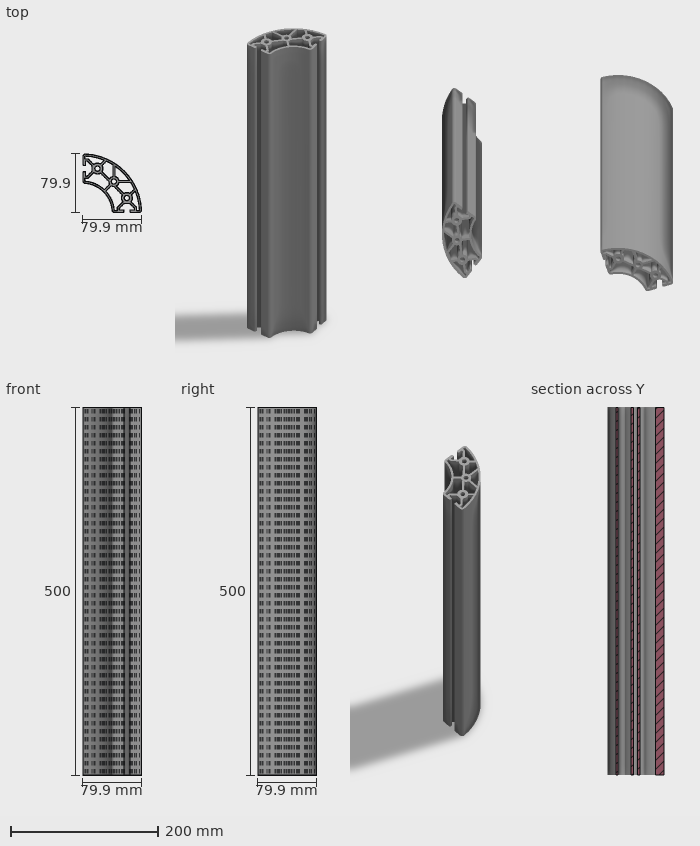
import cadquery as cq
import math

LENGTH = 500.0
OUTER_RADIUS = 80.0
INNER_RADIUS = 40.0
MID_RADIUS = (OUTER_RADIUS + INNER_RADIUS) / 2
WALL = 3.0
CORNER_RADIUS = 4.0

MOUTH_WIDTH = 12.0
LIP = 4.0
LIP_RADIUS = 1.9
SLOT_WIDTH = MOUTH_WIDTH - 2 * LIP_RADIUS
CAVITY_WIDTH = 20.5
CAVITY_SIDE_TOP = 6.0
CAVITY_DEPTH = 12.5
CAVITY_FLOOR_WIDTH = CAVITY_WIDTH - 2 * (CAVITY_DEPTH - CAVITY_SIDE_TOP)
CAVITY_FLOOR_RADIUS = 3.0

RIB = 3.0
SIDE_BOSS_RADIUS = 7.5
MID_BOSS_RADIUS = 7.0
BORE_RADIUS = 3.4
DIAGONAL = math.cos(math.pi / 4)
SIDE_BOSS = (MID_RADIUS, CAVITY_DEPTH + SIDE_BOSS_RADIUS)
MID_BOSS = (MID_RADIUS * DIAGONAL, MID_RADIUS * DIAGONAL)

WALL_RIB_REACH = OUTER_RADIUS
BOSS_RIB_REACH = (SIDE_BOSS[0] - SIDE_BOSS[1]) * DIAGONAL


def quarter_ring(inner, outer, foot):
    """Quarter ring between two radii, with both end faces moved in by foot."""
    inner_run = math.sqrt(inner**2 - foot**2)
    outer_run = math.sqrt(outer**2 - foot**2)
    return (
        cq.Workplane("XY")
        .moveTo(inner_run, foot)
        .lineTo(outer_run, foot)
        .threePointArc((outer * DIAGONAL, outer * DIAGONAL), (foot, outer_run))
        .lineTo(foot, inner_run)
        .threePointArc((inner * DIAGONAL, inner * DIAGONAL), (inner_run, foot))
        .close()
        .extrude(LENGTH)
    )


def rib(start, angle, reach):
    """Straight web from a boss centre, at an angle from +X in degrees."""
    return (
        cq.Workplane("XY")
        .center(reach / 2, 0)
        .rect(reach, RIB)
        .extrude(LENGTH)
        .rotate((0, 0, 0), (0, 0, 1), angle)
        .translate((start[0], start[1], 0))
    )


def cylinder(center, radius):
    """Full-length round bar."""
    return cq.Workplane("XY").center(*center).circle(radius).extrude(LENGTH)


def cavity(margin=0.0):
    """Wide inner part of the slot on the Y = 0 face, grown on every side by margin."""
    slope_shift = margin * math.tan(math.pi / 8)
    half_width = CAVITY_WIDTH / 2 + margin
    half_floor = CAVITY_FLOOR_WIDTH / 2 + slope_shift
    side_top = CAVITY_SIDE_TOP + slope_shift
    lip = LIP - margin
    floor = CAVITY_DEPTH + margin
    return (
        cq.Workplane("XY")
        .center(MID_RADIUS, 0)
        .polyline([
            (-half_width, lip),
            (half_width, lip),
            (half_width, side_top),
            (half_floor, floor),
            (-half_floor, floor),
            (-half_width, side_top),
        ])
        .close()
        .extrude(LENGTH)
    )


def slot_mouth():
    """Narrow opening through the lip, with rounded outer edges."""
    half_slot = SLOT_WIDTH / 2
    half_mouth = MOUTH_WIDTH / 2
    return (
        cq.Workplane("XY")
        .center(MID_RADIUS, 0)
        .moveTo(-half_slot, LIP)
        .lineTo(half_slot, LIP)
        .lineTo(half_slot, LIP_RADIUS)
        .radiusArc((half_mouth, 0), -LIP_RADIUS)
        .lineTo(-half_mouth, 0)
        .radiusArc((-half_slot, LIP_RADIUS), -LIP_RADIUS)
        .close()
        .extrude(LENGTH)
    )


def with_mirror(shape):
    """Shape together with its reflection in the X = Y diagonal."""
    return shape.union(shape.mirror((1, -1, 0)))


side_webs = (
    cavity(RIB)
    .union(cylinder(SIDE_BOSS, SIDE_BOSS_RADIUS))
    .union(rib(SIDE_BOSS, 45, WALL_RIB_REACH))
    .union(rib(SIDE_BOSS, 135, BOSS_RIB_REACH))
)
webs = with_mirror(side_webs)

webs = webs.union(cylinder(MID_BOSS, MID_BOSS_RADIUS))
for rib_angle in (0, 90, 225):
    webs = webs.union(rib(MID_BOSS, rib_angle, WALL_RIB_REACH))

outside = quarter_ring(INNER_RADIUS, OUTER_RADIUS, 0).edges("|Z").fillet(CORNER_RADIUS)
hollow = quarter_ring(INNER_RADIUS + WALL, OUTER_RADIUS - WALL, WALL)
body = outside.cut(hollow.cut(webs))

side_cuts = (
    cavity()
    .edges("|Z and >Y")
    .fillet(CAVITY_FLOOR_RADIUS)
    .union(slot_mouth())
    .union(cylinder(SIDE_BOSS, BORE_RADIUS))
)
result = body.cut(with_mirror(side_cuts)).cut(cylinder(MID_BOSS, BORE_RADIUS))